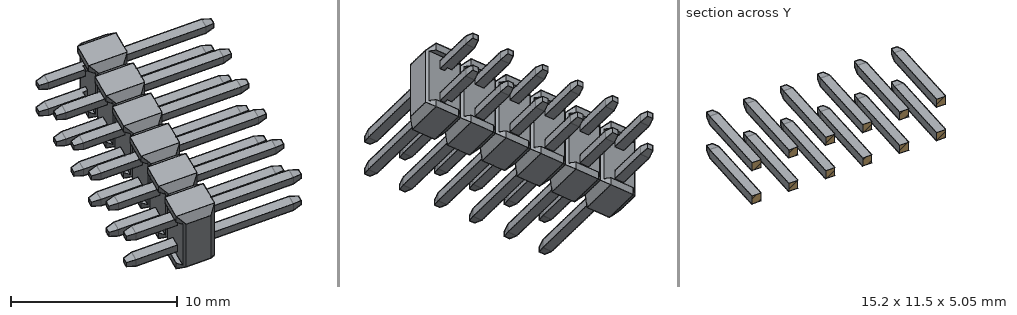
import cadquery as cq

overall_length = 15.24
overall_depth = 11.54
column_count = 6
row_count = 2
pitch = overall_length / column_count

body_depth = pitch
body_height = 5.05
body_chamfer = 0.45

channel_height = 3.93
channel_depth = 0.3

pin_width = 0.64
pin_tip_width = 0.4
pin_tip_length = 0.58
pin_front_length = 3.0
pin_back_length = overall_depth - body_depth - pin_front_length

front_face_y = -body_depth / 2
back_face_y = body_depth / 2


def centred_positions(count):
    """Positions of count items one pitch apart, centred on zero."""
    return [(index - (count - 1) / 2) * pitch for index in range(count)]


def make_housing_cell():
    """One housing cell, chamfered all around both of its end faces."""
    cell = cq.Workplane("XY").box(pitch, body_depth, body_height)
    return cell.faces("<X or >X").edges().chamfer(body_chamfer)


def make_channel():
    """Cutter for the channel that runs the full length of the front face."""
    return (
        cq.Workplane("XY")
        .box(overall_length, channel_depth, channel_height)
        .translate((0, front_face_y + channel_depth / 2, 0))
    )


def make_pin_tip():
    """Tapered end that starts at Y = 0 and narrows toward +Y."""
    return (
        cq.Workplane("XZ")
        .rect(pin_width, pin_width)
        .workplane(offset=-pin_tip_length)
        .rect(pin_tip_width, pin_tip_width)
        .loft(ruled=True)
    )


def make_pin():
    """One pin through the housing, tapered at both ends."""
    shank_front_y = front_face_y - pin_front_length + pin_tip_length
    shank_back_y = back_face_y + pin_back_length - pin_tip_length
    shank_length = shank_back_y - shank_front_y
    shank_centre_y = (shank_front_y + shank_back_y) / 2

    shank = cq.Workplane("XY").box(pin_width, shank_length, pin_width).translate((0, shank_centre_y, 0))
    back_tip = make_pin_tip().translate((0, shank_back_y, 0))
    front_tip = make_pin_tip().mirror("XZ").translate((0, shank_front_y, 0))
    return shank.union(back_tip).union(front_tip)


def make_pin_relief():
    """Cutter for the +X half of a pin where it crosses the channel."""
    return (
        cq.Workplane("XY")
        .box(pin_width / 2, channel_depth, pin_width)
        .translate((pin_width / 4, front_face_y + channel_depth / 2, 0))
    )


cell = make_housing_cell()
housing = cq.Workplane("XY")
for x in centred_positions(column_count):
    housing = housing.union(cell.translate((x, 0, 0)))
housing = housing.cut(make_channel())

first_column_x = centred_positions(column_count)[0]
pin = make_pin()
relieved_pin = pin.cut(make_pin_relief())
result = housing
for x in centred_positions(column_count):
    column_pin = relieved_pin if x == first_column_x else pin
    for z in centred_positions(row_count):
        result = result.union(column_pin.translate((x, 0, z)))